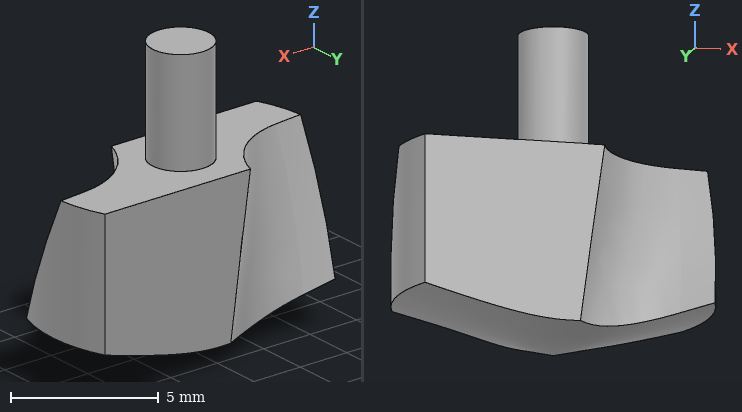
import cadquery as cq
import math

shank_diameter = 2.4
shank_length = 4.3
head_diameter = 11.0
head_thickness = 4.47
rim_length = 5.2
point_length = 1.7

face_angle = 5.9
face_inner_x = 4.33
face_inner_y = 0.28
flute_radius = 3.63
twist_per_mm = 4.69
flute_count = 2

head_radius = head_diameter / 2
head_length = rim_length + point_length
clearance = 1.5


def make_head():
    """Revolved cylinder with a conical point, trimmed to two parallel flats."""
    blank = (
        cq.Workplane("XZ")
        .polyline([(0, 0), (head_radius, 0), (head_radius, -rim_length), (0, -head_length)])
        .close()
        .revolve(360, (0, 0, 0), (0, 1, 0))
    )
    slab = cq.Workplane("XY").box(
        head_diameter, head_thickness, head_length, centered=(True, True, False)
    ).translate((0, 0, -head_length))
    return blank.intersect(slab)


def make_flute_cutter():
    """Flute section twisted about the drill axis from the tip level up to the shoulder."""
    slope = math.radians(face_angle)
    center_x = face_inner_x + flute_radius * math.sin(slope)
    center_y = face_inner_y - flute_radius * math.cos(slope)
    outer_x = head_radius + clearance
    outer_y = face_inner_y + (outer_x - face_inner_x) * math.tan(slope)
    arc_start = math.pi / 2 + slope
    arc_middle = (arc_start + math.pi) / 2
    middle = (
        center_x + flute_radius * math.cos(arc_middle),
        center_y + flute_radius * math.sin(arc_middle),
    )
    nearest_x = center_x - flute_radius
    total_twist = twist_per_mm * head_length
    return (
        cq.Workplane("XY")
        .transformed(rotate=(0, 0, -total_twist), offset=(0, 0, -head_length))
        .moveTo(outer_x, outer_y)
        .lineTo(face_inner_x, face_inner_y)
        .threePointArc(middle, (nearest_x, center_y))
        .lineTo(nearest_x, -outer_x)
        .lineTo(outer_x, -outer_x)
        .close()
        .twistExtrude(head_length, total_twist)
    )


def cut_flutes(head):
    """Cut the flutes at equal spacing round the axis."""
    cutter = make_flute_cutter()
    for index in range(flute_count):
        head = head.cut(cutter.rotate((0, 0, 0), (0, 0, 1), index * 360 / flute_count))
    return head


def make_shank():
    """Plain round shank standing on the shoulder."""
    return cq.Workplane("XY").circle(shank_diameter / 2).extrude(shank_length)


result = cut_flutes(make_head()).union(make_shank())